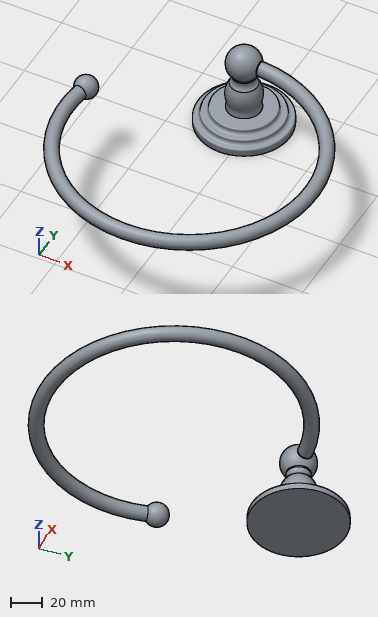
import cadquery as cq
import math

FLANGE_RADIUS = 32.5
FLANGE_HEIGHT = 13.0
BOTTOM_RIM_ROUND = 1.2
UPPER_RIM_ROUND = 0.8
BOTTOM_TIER_TOP = 5.2
MIDDLE_TIER_TOP = 9.1
MIDDLE_TIER_RADIUS = 27.8
TOP_TIER_RADIUS = 22.4
COVE_RADIUS = 2.3

FOOT_RADIUS = 11.8
FOOT_WAIST_RADIUS = 11.2
BULGE_BOTTOM_RADIUS = 11.7
BULGE_RADIUS = 12.3
BULGE_TOP_RADIUS = 9.4
NECK_RADIUS = 7.5
COLLAR_RADIUS = 8.1
FOOT_WAIST_Z = 16.8
BULGE_BOTTOM_Z = 19.9
BULGE_Z = 24.2
BULGE_TOP_Z = 33.2
NECK_Z = 37.3
COLLAR_BOTTOM_Z = 39.6
BALL_RADIUS = 12.0
OVERALL_HEIGHT = 61.52
BALL_Z = OVERALL_HEIGHT - BALL_RADIUS

STUB_END_X = 11.5
TUBE_RADIUS = 5.0
RING_RADIUS = 86.5
RING_CENTER_X = 6.5
RING_CENTER_Y = -math.sqrt(RING_RADIUS**2 - RING_CENTER_X**2)
END_BALL_RADIUS = 8.0
END_BALL_ANGLE = 166.2


def ring_point(angle):
    """Point on the ring's centre line at an angle in degrees from +X."""
    turn = math.radians(angle)
    return (
        RING_CENTER_X + RING_RADIUS * math.cos(turn),
        RING_CENTER_Y + RING_RADIUS * math.sin(turn),
        BALL_Z,
    )


def ball(radius, center):
    return cq.Workplane("XY").sphere(radius).translate(center)


def add_rim(outline, radius, top, rounding):
    """Extend a flange outline up a tier's wall and over its rounded rim."""
    slope = rounding * math.sqrt(0.5)
    return (
        outline.lineTo(radius, top - rounding)
        .threePointArc(
            (radius - rounding + slope, top - rounding + slope),
            (radius - rounding, top),
        )
    )


def add_cove(outline, radius, ledge):
    """Extend a flange outline along a ledge and up a concave quarter round."""
    slope = COVE_RADIUS * (1 - math.sqrt(0.5))
    return (
        outline.lineTo(radius + COVE_RADIUS, ledge)
        .threePointArc((radius + slope, ledge + slope), (radius, ledge + COVE_RADIUS))
    )


def make_flange():
    outline = cq.Workplane("XZ").lineTo(FLANGE_RADIUS, 0)
    outline = add_rim(outline, FLANGE_RADIUS, BOTTOM_TIER_TOP, BOTTOM_RIM_ROUND)
    outline = add_cove(outline, MIDDLE_TIER_RADIUS, BOTTOM_TIER_TOP)
    outline = add_rim(outline, MIDDLE_TIER_RADIUS, MIDDLE_TIER_TOP, UPPER_RIM_ROUND)
    outline = add_cove(outline, TOP_TIER_RADIUS, MIDDLE_TIER_TOP)
    outline = add_rim(outline, TOP_TIER_RADIUS, FLANGE_HEIGHT, UPPER_RIM_ROUND)
    return outline.lineTo(0, FLANGE_HEIGHT).close().revolve(360, (0, 0), (0, 1))


def make_post():
    ball_bottom_z = BALL_Z - math.sqrt(BALL_RADIUS**2 - COLLAR_RADIUS**2)
    return (
        cq.Workplane("YZ")
        .moveTo(0, FLANGE_HEIGHT)
        .lineTo(FOOT_RADIUS, FLANGE_HEIGHT)
        .threePointArc((FOOT_WAIST_RADIUS, FOOT_WAIST_Z), (BULGE_BOTTOM_RADIUS, BULGE_BOTTOM_Z))
        .threePointArc((BULGE_RADIUS, BULGE_Z), (BULGE_TOP_RADIUS, BULGE_TOP_Z))
        .threePointArc((NECK_RADIUS, NECK_Z), (COLLAR_RADIUS, COLLAR_BOTTOM_Z))
        .lineTo(COLLAR_RADIUS, ball_bottom_z)
        .threePointArc((BALL_RADIUS, BALL_Z), (0, BALL_Z + BALL_RADIUS))
        .close()
        .revolve(360, (0, 0), (0, 1))
    )


def make_stub():
    """Short straight piece from inside the ball to the start of the ring."""
    return cq.Workplane("YZ", origin=(0, 0, BALL_Z)).circle(TUBE_RADIUS).extrude(STUB_END_X)


def make_tube():
    start_angle = math.degrees(math.acos((STUB_END_X - RING_CENTER_X) / RING_RADIUS))
    end_angle = END_BALL_ANGLE - 360
    start, middle, end = [
        cq.Vector(*ring_point(angle))
        for angle in (start_angle, (start_angle + end_angle) / 2, end_angle)
    ]
    path = cq.Workplane(cq.Edge.makeThreePointArc(start, middle, end))
    section = cq.Workplane("YZ", origin=start.toTuple()).circle(TUBE_RADIUS)
    return section.sweep(path)


def make_ring_holder():
    """Post, stub, ring and end ball as one piece standing on the flange."""
    end_ball = ball(END_BALL_RADIUS, ring_point(END_BALL_ANGLE))
    ring = make_stub().union(make_tube()).union(end_ball)
    return make_post().union(ring)


flange = make_flange()
ring_holder = make_ring_holder()
result = cq.Compound.makeCompound([flange.val(), *ring_holder.vals()])